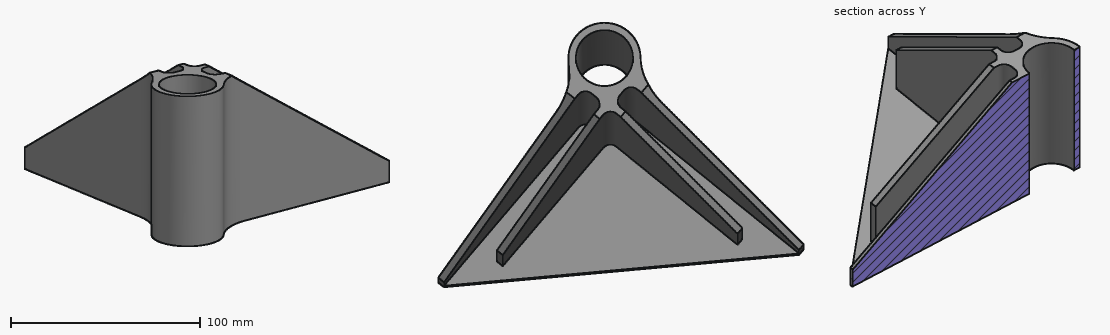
import cadquery as cq
import math

overall_side = 154.2
height = 84.0
bore_diameter = 30.2
wall = 4.0
blend_radius = 30.0
pocket_radius = 5.0
tip_height = 12.0
slope_start = 27.0
rib_setback = 27.9

half_wall = wall / 2
bore_radius = bore_diameter / 2
tube_radius = bore_radius + wall
reach = overall_side - tube_radius
rib_inner = bore_radius
rib_outer = rib_inner + wall
pocket_end = rib_outer
rib_reach = reach - rib_setback

blend_y = half_wall + blend_radius
blend_x = math.sqrt((tube_radius + blend_radius) ** 2 - blend_y**2)


def mirrored(point):
    """Reflect a plan point across the diagonal symmetry plane y = -x."""
    x, y = point
    return (-y, -x)


def make_body():
    """Full-height plan outline: triangle with two walls blended into the tube."""
    contact_scale = tube_radius / (tube_radius + blend_radius)
    contact = (-blend_x * contact_scale, -blend_y * contact_scale)
    wall_angle = math.pi / 2
    tube_angle = math.atan2(blend_y, blend_x)
    middle_angle = (wall_angle + tube_angle) / 2
    blend_middle = (
        -blend_x + blend_radius * math.cos(middle_angle),
        -blend_y + blend_radius * math.sin(middle_angle),
    )
    blend_start = (-blend_x, -half_wall)
    tube_middle = (tube_radius / math.sqrt(2), -tube_radius / math.sqrt(2))
    wall_tip = (-reach, -half_wall)
    hypotenuse_end = (-reach, half_wall)
    return (
        cq.Workplane("XY")
        .moveTo(*wall_tip)
        .lineTo(*blend_start)
        .threePointArc(blend_middle, contact)
        .threePointArc(tube_middle, mirrored(contact))
        .threePointArc(mirrored(blend_middle), mirrored(blend_start))
        .lineTo(*mirrored(wall_tip))
        .lineTo(*mirrored(hypotenuse_end))
        .lineTo(*hypotenuse_end)
        .close()
        .extrude(height)
    )


def block(x_min, x_max, y_min, y_max):
    """Rectangular cutter standing on the base plate."""
    return (
        cq.Workplane("XY", origin=(0, 0, wall))
        .moveTo(x_min, y_min)
        .lineTo(x_max, y_min)
        .lineTo(x_max, y_max)
        .lineTo(x_min, y_max)
        .close()
        .extrude(height)
    )


def make_pockets():
    """Two wall channels, the corner pocket, and the open space beyond the ribs."""
    x_channel = block(-overall_side, -pocket_end, half_wall, rib_inner)
    x_channel = x_channel.edges("|Z and >X").fillet(pocket_radius)
    y_channel = block(-rib_inner, -half_wall, pocket_end, overall_side)
    y_channel = y_channel.edges("|Z and <Y").fillet(pocket_radius)
    corner = block(-overall_side, -rib_outer, rib_outer, overall_side)
    corner = corner.edges("|Z and >X and <Y").fillet(pocket_radius)
    beyond_x_rib = block(-overall_side, -rib_reach, half_wall, overall_side)
    beyond_y_rib = block(-overall_side, -half_wall, rib_reach, overall_side)
    return [x_channel, y_channel, corner, beyond_x_rib, beyond_y_rib]


def make_slope_cutter(plane, direction):
    """Wedge that slopes the tops of the wall and rib running in one direction."""
    return (
        cq.Workplane(plane)
        .moveTo(direction * slope_start, height)
        .lineTo(direction * reach, tip_height)
        .lineTo(direction * reach, height)
        .close()
        .extrude(overall_side, both=True)
    )


result = make_body()
for pocket in make_pockets():
    result = result.cut(pocket)
result = result.cut(make_slope_cutter("XZ", -1))
result = result.cut(make_slope_cutter("YZ", 1))

bore = cq.Workplane("XY").circle(bore_radius).extrude(height)
result = result.cut(bore)